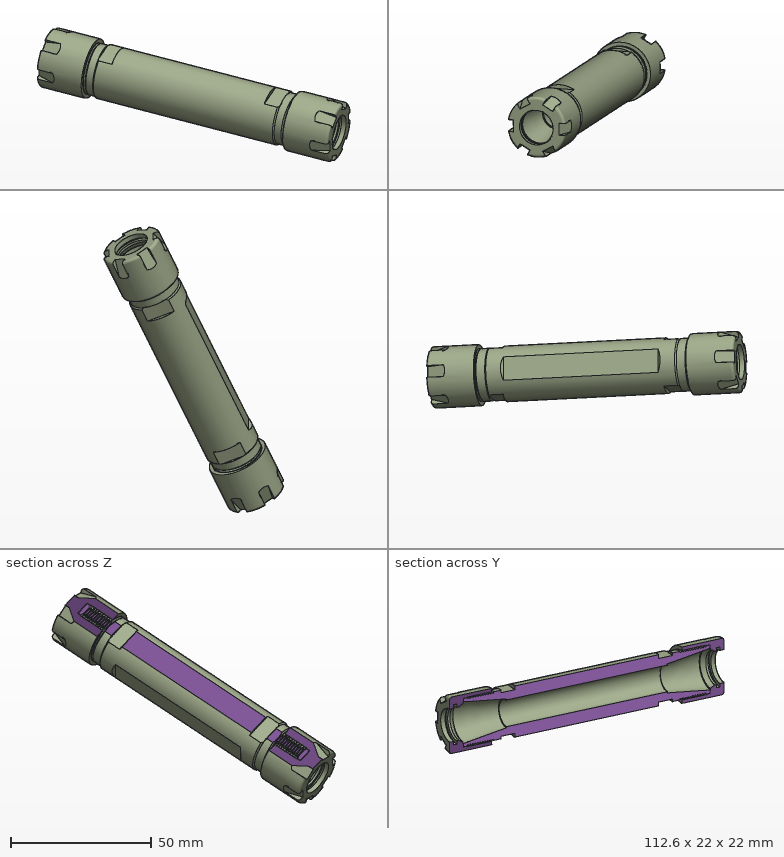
import cadquery as cq
import math


LENGTH = 112.6
HALF_LENGTH = LENGTH / 2

NUT_DIAMETER = 22.0
NUT_RADIUS = NUT_DIAMETER / 2
NUT_LENGTH = 17.3
NUT_FRONT_FILLET = 1.0
NUT_REAR_BEVEL_LENGTH = 0.5
NUT_REAR_BEVEL_DROP = 0.1
MOUTH_RADIUS = 6.3
LIP_DEPTH = 1.8
GROOVE_RADIUS = 7.7
GROOVE_END_DEPTH = 2.9
RIDGE_RADIUS = 6.4
RIDGE_END_DEPTH = 3.8
SEAT_HALF_ANGLE = 30.0

SLOT_COUNT = 6
SLOT_WIDTH = 4.3
SLOT_LENGTH = 6.9
SLOT_FLOOR_RADIUS = 8.6

NOSE_RADIUS = 9.5
NOSE_DEPTH = 5.6
NOSE_END = HALF_LENGTH - NOSE_DEPTH

THREAD_PITCH = 1.0
THREAD_WIDTH = 0.9
THREAD_CUT = 0.6
THREAD_RING_COUNT = 11
LAST_RING_DEPTH = 17.8
THREAD_TILT = math.degrees(math.atan(THREAD_PITCH / 2 / (2 * NOSE_RADIUS)))

BARREL_DIAMETER = 19.9
BARREL_RADIUS = BARREL_DIAMETER / 2
BARREL_START_DEPTH = 21.2
BARREL_CHAMFER = BARREL_RADIUS - NOSE_RADIUS

BORE_RADIUS = 5.1
TAPER_MOUTH_RADIUS = 8.0
TAPER_END_RADIUS = 5.5
TAPER_HALF_ANGLE = 8.0
TAPER_LENGTH = (TAPER_MOUTH_RADIUS - TAPER_END_RADIUS) / math.tan(math.radians(TAPER_HALF_ANGLE))

WRENCH_WIDTH = 17.0
WRENCH_END_DEPTH = 26.8

SIDE_FLAT_DISTANCE = 9.0
SIDE_FLAT_RAMP = BARREL_RADIUS - SIDE_FLAT_DISTANCE
SIDE_FLAT_START_DEPTH = 27.0

CUT_MARGIN = 1.1
AXIS_START = (0, 0, 0)
AXIS_END = (1, 0, 0)


def revolve_about_x(points):
    """Solid of revolution about X from (x, radius) points."""
    return cq.Workplane("XY").polyline(points).close().revolve(360, AXIS_START, AXIS_END)


def nut_blank():
    outside = revolve_about_x([
        (0, 0),
        (0, NUT_RADIUS),
        (NUT_LENGTH - NUT_REAR_BEVEL_LENGTH, NUT_RADIUS),
        (NUT_LENGTH, NUT_RADIUS - NUT_REAR_BEVEL_DROP),
        (NUT_LENGTH, 0),
    ])
    outside = outside.faces("<X").edges().fillet(NUT_FRONT_FILLET)
    seat_length = NOSE_DEPTH - RIDGE_END_DEPTH
    seat_radius = RIDGE_RADIUS + seat_length * math.tan(math.radians(SEAT_HALF_ANGLE))
    inside = revolve_about_x([
        (0, 0),
        (0, MOUTH_RADIUS),
        (LIP_DEPTH, MOUTH_RADIUS),
        (LIP_DEPTH, GROOVE_RADIUS),
        (GROOVE_END_DEPTH, GROOVE_RADIUS),
        (GROOVE_END_DEPTH, RIDGE_RADIUS),
        (RIDGE_END_DEPTH, RIDGE_RADIUS),
        (NOSE_DEPTH, seat_radius),
        (NOSE_DEPTH, NOSE_RADIUS),
        (NUT_LENGTH, NOSE_RADIUS),
        (NUT_LENGTH, 0),
    ])
    return outside.cut(inside)


def slot_cutter():
    """Slot on the +Y side, with a floor that climbs from the end face to the outside of the nut."""
    slope = (NUT_RADIUS - SLOT_FLOOR_RADIUS) / SLOT_LENGTH
    overrun = CUT_MARGIN * slope
    profile = [
        (-CUT_MARGIN, SLOT_FLOOR_RADIUS - overrun),
        (SLOT_LENGTH + CUT_MARGIN, NUT_RADIUS + overrun),
        (-CUT_MARGIN, NUT_RADIUS + overrun),
    ]
    return cq.Workplane("XY").polyline(profile).close().extrude(SLOT_WIDTH / 2, both=True)


def make_left_nut():
    nut = nut_blank()
    for index in range(SLOT_COUNT):
        nut = nut.cut(slot_cutter().rotate(AXIS_START, AXIS_END, index * 360 / SLOT_COUNT))
    return nut.translate((-HALF_LENGTH, 0, 0))


def body_blank():
    barrel_end = HALF_LENGTH - BARREL_START_DEPTH
    barrel_full = barrel_end - BARREL_CHAMFER
    return revolve_about_x([
        (-NOSE_END, 0),
        (-NOSE_END, NOSE_RADIUS),
        (-barrel_end, NOSE_RADIUS),
        (-barrel_full, BARREL_RADIUS),
        (barrel_full, BARREL_RADIUS),
        (barrel_end, NOSE_RADIUS),
        (NOSE_END, NOSE_RADIUS),
        (NOSE_END, 0),
    ])


def bore_cutter():
    taper_end = NOSE_END - TAPER_LENGTH
    return revolve_about_x([
        (-NOSE_END, 0),
        (-NOSE_END, TAPER_MOUTH_RADIUS),
        (-taper_end, TAPER_END_RADIUS),
        (-taper_end, BORE_RADIUS),
        (taper_end, BORE_RADIUS),
        (taper_end, TAPER_END_RADIUS),
        (NOSE_END, TAPER_MOUTH_RADIUS),
        (NOSE_END, 0),
    ])


def left_wrench_cutter():
    """Two blocks that leave the wrench flats at the -X end of the barrel."""
    length = WRENCH_END_DEPTH - BARREL_START_DEPTH
    center_x = (WRENCH_END_DEPTH + BARREL_START_DEPTH) / 2 - HALF_LENGTH
    block = cq.Workplane("XY").box(length, 2 * BARREL_RADIUS, BARREL_RADIUS, centered=(True, True, False))
    upper = block.translate((center_x, 0, WRENCH_WIDTH / 2))
    return upper.union(upper.mirror("XY"))


def side_flat_cutter():
    half_outer = HALF_LENGTH - SIDE_FLAT_START_DEPTH
    half_floor = half_outer - SIDE_FLAT_RAMP
    profile = [
        (-half_outer, BARREL_RADIUS),
        (-half_floor, SIDE_FLAT_DISTANCE),
        (half_floor, SIDE_FLAT_DISTANCE),
        (half_outer, BARREL_RADIUS),
    ]
    return cq.Workplane("XY").polyline(profile).close().extrude(BARREL_RADIUS, both=True)


def thread_ring_cutter():
    """Tilted V ring around the origin, reaching furthest inward on the -Y side at the -X end."""
    slope = THREAD_WIDTH / 2 / THREAD_CUT
    half_width = THREAD_WIDTH / 2 + CUT_MARGIN * slope
    ring = revolve_about_x([
        (-half_width, NOSE_RADIUS + CUT_MARGIN),
        (0, NOSE_RADIUS - THREAD_CUT),
        (half_width, NOSE_RADIUS + CUT_MARGIN),
    ])
    return ring.rotate((0, 0, 0), (0, 0, 1), THREAD_TILT)


def make_body():
    body = body_blank().cut(bore_cutter()).cut(side_flat_cutter())
    left_cutters = [left_wrench_cutter()]
    for index in range(THREAD_RING_COUNT):
        depth = LAST_RING_DEPTH - index * THREAD_PITCH
        left_cutters.append(thread_ring_cutter().translate((depth - HALF_LENGTH, 0, 0)))
    for cutter in left_cutters:
        body = body.cut(cutter).cut(cutter.mirror("YZ"))
    return body


body = make_body()
left_nut = make_left_nut()
right_nut = left_nut.mirror("YZ")

result = cq.Compound.makeCompound([body.solids().val(), left_nut.solids().val(), right_nut.solids().val()])